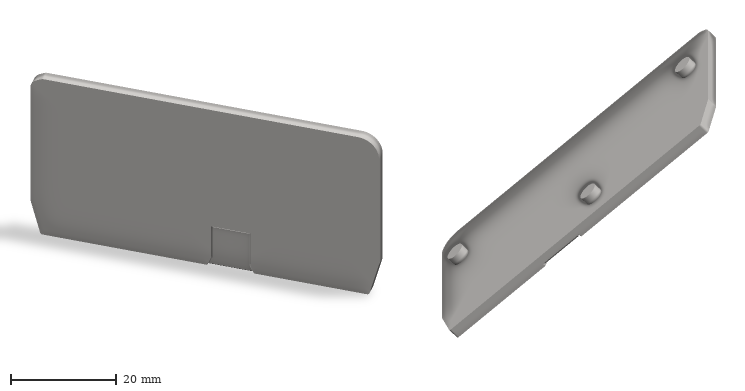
import cadquery as cq

length = 69.5
height = 36.1
thickness = 2.2
half_length = length / 2

right_corner_radius = 4.2
left_chamfer_x = 2.35
left_chamfer_z = 1.2
left_side_radius = 1.95
left_top_radius = 0.8
lower_taper_x = 2.0
lower_taper_z = 7.45
lower_corner_radius = 0.5

peg_diameter = 3.75
peg_length = 1.8
upper_peg_z = 24.7
lower_peg_z = 5.8
peg_centres = [(-29.7, upper_peg_z), (-5.0, lower_peg_z), (29.7, upper_peg_z)]

recess_x = 5.15
recess_half_width = 3.95
recess_height = 9.1
flare_height = 1.7
flare_width = 0.7
recess_depth = 0.6
pad_rise = 0.35
pad_slope_inset = 0.31


def front_plane(y):
    """XZ plane at the given Y; its normal is -Y, so negative extrusions run toward +Y."""
    return cq.Workplane(cq.Plane(origin=(0, y, 0), xDir=(1, 0, 0), normal=(0, -1, 0)))


def round_edge(body, x, z, radius):
    """Round the plate edge that runs along Y through (x, z)."""
    edge = cq.selectors.NearestToPointSelector((x, thickness / 2, z))
    return body.edges("|Y").edges(edge).fillet(radius)


def make_plate():
    lower_half = half_length - lower_taper_x
    outline = [
        (-lower_half, 0),
        (lower_half, 0),
        (half_length, lower_taper_z),
        (half_length, height),
        (-half_length + left_chamfer_x, height),
        (-half_length, height - left_chamfer_z),
        (-half_length, lower_taper_z),
    ]
    plate = front_plane(0).polyline(outline).close().extrude(-thickness)
    plate = round_edge(plate, half_length, height, right_corner_radius)
    plate = round_edge(plate, -half_length, height - left_chamfer_z, left_side_radius)
    plate = round_edge(plate, -half_length + left_chamfer_x, height, left_top_radius)
    for x in (-lower_half, lower_half):
        plate = round_edge(plate, x, 0, lower_corner_radius)
    return plate


def recess_outline(y, inset):
    """Recess outline drawn at depth y, shrunk on every side by the inset."""
    half_width = recess_half_width - inset
    half_foot = half_width + flare_width * (1 - inset / flare_height)
    top = recess_height - inset
    points = [
        (recess_x - half_foot, inset),
        (recess_x + half_foot, inset),
        (recess_x + half_width, flare_height),
        (recess_x + half_width, top),
        (recess_x - half_width, top),
        (recess_x - half_width, flare_height),
    ]
    return front_plane(y).polyline(points).close()


def make_pad():
    base = recess_outline(recess_depth, 0).wires().val()
    face = recess_outline(recess_depth - pad_rise, pad_slope_inset).wires().val()
    return cq.Workplane(cq.Solid.makeLoft([base, face], True))


def make_pegs():
    return front_plane(thickness).pushPoints(peg_centres).circle(peg_diameter / 2).extrude(-peg_length)


recess_cutter = recess_outline(0, 0).extrude(-recess_depth)
result = make_plate().cut(recess_cutter).union(make_pad()).union(make_pegs())